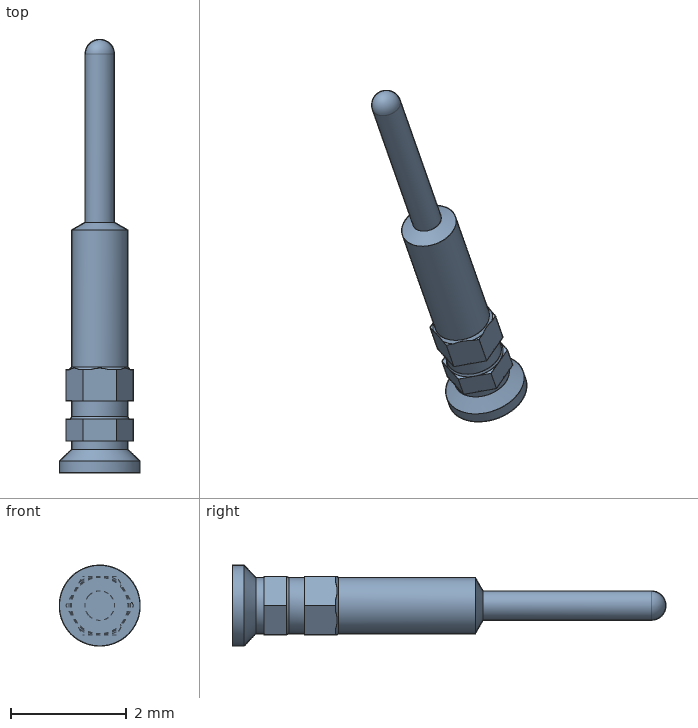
import cadquery as cq
import math

length = 7.49
head_rim_end = 0.2
head_cone_end = 0.405
front_hex_start = 0.55
front_hex_end = 0.93
rear_hex_start = 1.24
rear_hex_end = 1.78
body_end = 4.195
shoulder_end = 4.33
flare_length = 0.045

head_diameter = 1.4
body_diameter = 0.97
pin_diameter = 0.51
hex_across_flats = 1.01
hex_across_corners = hex_across_flats / math.cos(math.radians(30))
front_flare_diameter = hex_across_flats
rear_flare_diameter = body_diameter + 2 * flare_length

tip_radius = pin_diameter / 2
head_face_y = -length / 2


def turned_pin():
    """Head, body, shoulder and round-nosed pin, revolved about the Y axis."""
    tip_start = length - tip_radius
    tip_mid = tip_radius * math.sin(math.radians(45))
    profile = (
        cq.Workplane("XY")
        .moveTo(0, 0)
        .lineTo(head_diameter / 2, 0)
        .lineTo(head_diameter / 2, head_rim_end)
        .lineTo(body_diameter / 2, head_cone_end)
        .lineTo(body_diameter / 2, body_end)
        .lineTo(pin_diameter / 2, shoulder_end)
        .lineTo(pin_diameter / 2, tip_start)
        .threePointArc((tip_mid, tip_start + tip_mid), (0, length))
        .close()
    )
    return profile.revolve(360, (0, 0), (0, 1))


def hex_prism(start, end):
    """Hexagonal prism along Y with corners pointing along X."""
    return (
        cq.Workplane("XZ", origin=(0, start, 0))
        .polygon(6, hex_across_corners)
        .extrude(start - end)
    )


def flare(start, base_diameter):
    """Short cone narrowing from a collar down to the body on the pin side."""
    return (
        cq.Workplane("XY")
        .moveTo(0, start)
        .lineTo(base_diameter / 2, start)
        .lineTo(body_diameter / 2, start + flare_length)
        .lineTo(0, start + flare_length)
        .close()
        .revolve(360, (0, 0), (0, 1))
    )


def hex_collar(start, end, flare_diameter):
    """Hexagonal collar whose pin-side flare is trimmed by the hexagon's flats."""
    trimmed_flare = flare(end, flare_diameter).intersect(hex_prism(end, end + flare_length))
    return hex_prism(start, end).union(trimmed_flare)


result = (
    turned_pin()
    .union(hex_collar(front_hex_start, front_hex_end, front_flare_diameter))
    .union(hex_collar(rear_hex_start, rear_hex_end, rear_flare_diameter))
    .translate((0, head_face_y, 0))
)